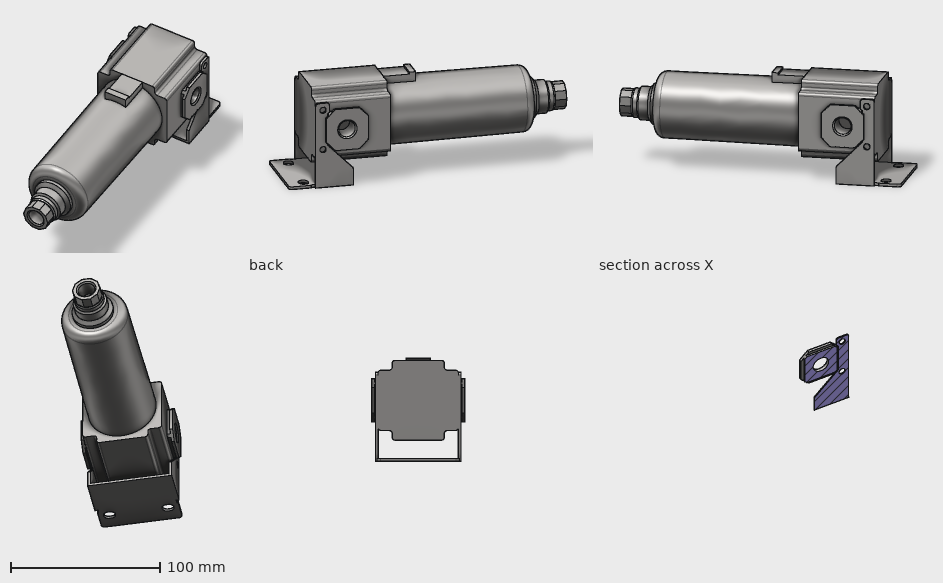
import cadquery as cq


overall_width = 62.5
overall_length = 197.0

bore_radius = 5.7
bore_chamfer = 1.0

body_length = 52.5
body_half_width = 27.0
body_half_height = 26.8
rib_half_width = 17.5
shoulder_half_height = 20.3
body_round = 2.0

port_y = -21.3
port_size = 29.2
port_corner = 6.1
port_outer_x = overall_width / 2
flange_thickness = 2.0
neck_size = 24.8
port_bore_depth = 15.8

sheet = 2.0
bracket_outer_x = 28.8
bracket_bottom = -41.0
bracket_depth = 26.2
ear_top = 19.0
ear_depth = 9.7
waist_depth = 8.3
ear_round = 2.0
arm_front_top = -29.0
screw_diameter = 4.3
screw_y = -5.1
screw_spacing = 28.0
foot_reach = 18.0
foot_half_width = 27.5
foot_round = 2.4
foot_relief = 2.8
slot_spacing = 40.0
slot_y = 6.3
slot_length = 8.0
slot_width = 6.5

bowl_radius = 23.2
bowl_end_radius = 22.7
bowl_straight_end = -148.5
bowl_end_round = 6.0
latch_width = 16.2
latch_front = -74.7
latch_step_y = -70.3
latch_top = 27.0
latch_step_top = 28.4

collar_radius = 14.0
collar_end = -157.0
drain_radius = 11.5
drain_start = -159.4
drain_end = -165.9
ring_radius = 10.0
ring_start = -167.0
ring_end = -170.0
nut_sides = 10
nut_radius = 9.5
nut_start = -171.2
nut_end = foot_reach - overall_length
drain_bore_depth = 11.8


def make_body():
    def block(half_width, half_height):
        return cq.Workplane("XY").box(
            2 * half_width, body_length, 2 * half_height
        )

    cross = block(body_half_width, shoulder_half_height).union(
        block(rib_half_width, body_half_height)
    )
    return cross.edges("|Y").fillet(body_round).translate((0, -body_length / 2, 0))


def octagon_prism(size, x_start, x_end):
    """Prism along X whose four corner flats lie in the same planes for every size."""
    half = size / 2
    corner_plane = port_size - port_corner
    other = corner_plane - half
    points = [
        (other, half), (half, other), (half, -other), (other, -half),
        (-other, -half), (-half, -other), (-half, other), (-other, half),
    ]
    outline = cq.Workplane("YZ", origin=(x_start, port_y, 0)).polyline(points).close()
    return outline.extrude(x_end - x_start)


def make_port():
    """Port on the +X side: narrower neck carrying an octagonal flange."""
    flange_back = port_outer_x - flange_thickness
    neck = octagon_prism(neck_size, rib_half_width, flange_back)
    flange = octagon_prism(port_size, flange_back, port_outer_x)
    return neck.union(flange)


def make_bore(mouth, direction, depth):
    """Blind bore with a chamfered mouth."""
    start = cq.Vector(*mouth)
    axis = cq.Vector(*direction)
    bore = cq.Solid.makeCylinder(bore_radius, depth, start, axis)
    chamfer = cq.Solid.makeCone(
        bore_radius + bore_chamfer, bore_radius, bore_chamfer, start, axis
    )
    return cq.Workplane(bore).union(cq.Workplane(chamfer))


def make_arm():
    """Upright bracket arm on the +X side, lying against the body."""
    waist_half_height = -arm_front_top - (bracket_depth - waist_depth)
    ear_bottom = waist_half_height + ear_depth - waist_depth
    arm = (
        cq.Workplane("YZ", origin=(bracket_outer_x - sheet, 0, 0))
        .moveTo(0, bracket_bottom)
        .lineTo(0, ear_top)
        .lineTo(-ear_depth, ear_top)
        .lineTo(-ear_depth, ear_bottom)
        .lineTo(-waist_depth, waist_half_height)
        .lineTo(-waist_depth, -waist_half_height)
        .lineTo(-bracket_depth, arm_front_top)
        .lineTo(-bracket_depth, bracket_bottom)
        .close()
        .extrude(sheet)
    )
    arm = arm.edges("|X and >Z").fillet(ear_round)
    holes = (
        cq.Workplane("YZ", origin=(bracket_outer_x, screw_y, 0))
        .pushPoints([(0, screw_spacing / 2), (0, -screw_spacing / 2)])
        .circle(screw_diameter / 2)
        .extrude(-sheet)
    )
    return arm.cut(holes)


def make_foot():
    bottom = cq.Workplane("XY", origin=(0, 0, bracket_bottom))
    inner_half_width = bracket_outer_x - sheet
    web = (
        bottom.center(0, (foot_relief - bracket_depth) / 2)
        .rect(2 * inner_half_width, bracket_depth + foot_relief)
        .extrude(sheet)
    )
    tab = (
        bottom.center(0, (foot_relief + foot_reach) / 2)
        .rect(2 * foot_half_width, foot_reach - foot_relief)
        .extrude(sheet)
        .edges("|Z and >Y")
        .fillet(foot_round)
    )
    slots = (
        bottom.pushPoints([(-slot_spacing / 2, slot_y), (slot_spacing / 2, slot_y)])
        .slot2D(slot_length, slot_width)
        .extrude(sheet)
    )
    return web.union(tab).cut(slots)


def make_bowl():
    """Tapered bowl and stepped drain neck, turned around the Y axis."""
    bowl_end = bowl_straight_end - bowl_end_round
    round_inner_radius = bowl_end_radius - bowl_end_round
    diagonal = bowl_end_round * 0.5 ** 0.5
    return (
        cq.Workplane("XY")
        .moveTo(0, -body_length)
        .lineTo(bowl_radius, -body_length)
        .lineTo(bowl_end_radius, bowl_straight_end)
        .threePointArc(
            (round_inner_radius + diagonal, bowl_straight_end - diagonal),
            (round_inner_radius, bowl_end),
        )
        .lineTo(collar_radius, bowl_end)
        .lineTo(collar_radius, collar_end)
        .lineTo(drain_radius, drain_start)
        .lineTo(drain_radius, drain_end)
        .lineTo(ring_radius, ring_start)
        .lineTo(ring_radius, ring_end)
        .lineTo(nut_radius, nut_start)
        .lineTo(0, nut_start)
        .close()
        .revolve(360, (0, 0, 0), (0, 1, 0))
    )


def make_nut():
    return (
        cq.Workplane("XZ", origin=(0, nut_start, 0))
        .polygon(nut_sides, 2 * nut_radius)
        .extrude(nut_start - nut_end)
    )


def make_latch():
    """Latch lying on the bowl with a raised lip at its free end."""
    return (
        cq.Workplane("YZ")
        .moveTo(-body_length, 0)
        .lineTo(-body_length, latch_top)
        .lineTo(latch_step_y, latch_top)
        .lineTo(latch_step_y, latch_step_top)
        .lineTo(latch_front, latch_step_top)
        .lineTo(latch_front, 0)
        .close()
        .extrude(latch_width / 2, both=True)
    )


def with_mirror(shape):
    return shape.union(shape.mirror("YZ"))


port_bore = make_bore((port_outer_x, port_y, 0), (-1, 0, 0), port_bore_depth)
drain_bore = make_bore((0, nut_end, 0), (0, 1, 0), drain_bore_depth)

result = (
    make_body()
    .union(with_mirror(make_port()))
    .union(with_mirror(make_arm()))
    .union(make_foot())
    .union(make_bowl())
    .union(make_nut())
    .union(make_latch())
    .cut(with_mirror(port_bore))
    .cut(drain_bore)
)